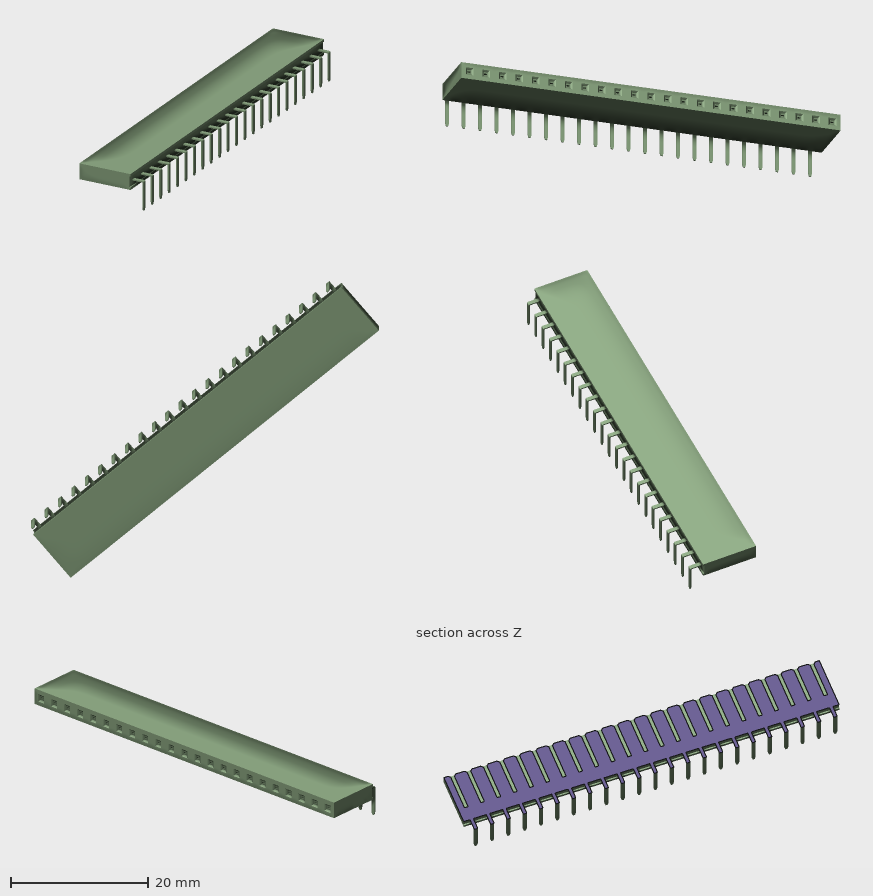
import cadquery as cq


pin_count = 23
pitch = 2.54

total_length = 10.13
total_height = 5.84

body_length = 8.5
body_height = 2.5
body_width = pin_count * pitch

groove_depth = 0.2
lip_height = 0.4

pin_thickness = 0.2
pin_width = 0.6
pin_center_z = 1.2
bend_radius = pin_thickness
tip_width = 0.3
tip_length = 0.5

funnel_mouth = 1.16
funnel_depth = 0.25
funnel_floor = funnel_mouth - 2 * funnel_depth
slot_width = 0.5
slot_height = pin_thickness
slot_end_x = 6.0

pin_bottom_z = body_height - total_height
back_x = body_length - groove_depth
contact_y = [(i - (pin_count - 1) / 2) * pitch for i in range(pin_count)]


def make_body():
    """Long block with a groove running along its back face."""
    block = cq.Workplane("XY").box(
        body_length, body_width, body_height, centered=(False, True, False)
    )
    groove = (
        cq.Workplane("XY")
        .box(groove_depth, body_width, body_height - 2 * lip_height, centered=(False, True, False))
        .translate((back_x, 0, lip_height))
    )
    return block.cut(groove)


def make_socket(y):
    """Cutter for one socket: tapered square mouth and a straight slot."""
    face = cq.Workplane("YZ", origin=(0, y, pin_center_z))
    funnel = (
        face.rect(funnel_mouth, funnel_mouth)
        .workplane(offset=funnel_depth)
        .rect(funnel_floor, funnel_floor)
        .loft(ruled=True)
    )
    slot = face.rect(slot_width, slot_height).extrude(slot_end_x)
    return funnel.union(slot)


def make_pin(y):
    """One flat pin from the slot end to behind the body, bent down and narrowed at its tip."""
    top_z = pin_center_z + pin_thickness / 2
    low_z = pin_center_z - pin_thickness / 2
    leg_x = total_length - pin_thickness
    half_width = pin_width / 2
    half_tip = tip_width / 2
    shoulder_z = pin_bottom_z + tip_length
    strip = (
        cq.Workplane("XZ", origin=(0, y + half_width, 0))
        .moveTo(slot_end_x, top_z)
        .lineTo(total_length - bend_radius, top_z)
        .radiusArc((total_length, top_z - bend_radius), bend_radius)
        .lineTo(total_length, pin_bottom_z)
        .lineTo(leg_x, pin_bottom_z)
        .lineTo(leg_x, low_z)
        .lineTo(slot_end_x, low_z)
        .close()
        .extrude(pin_width)
    )
    outline = (
        cq.Workplane("YZ", origin=(0, y, 0))
        .moveTo(-half_width, top_z)
        .lineTo(-half_width, shoulder_z)
        .lineTo(-half_tip, pin_bottom_z)
        .lineTo(half_tip, pin_bottom_z)
        .lineTo(half_width, shoulder_z)
        .lineTo(half_width, top_z)
        .close()
        .extrude(total_length)
    )
    return strip.intersect(outline)


result = make_body()
for contact in contact_y:
    result = result.cut(make_socket(contact)).union(make_pin(contact))